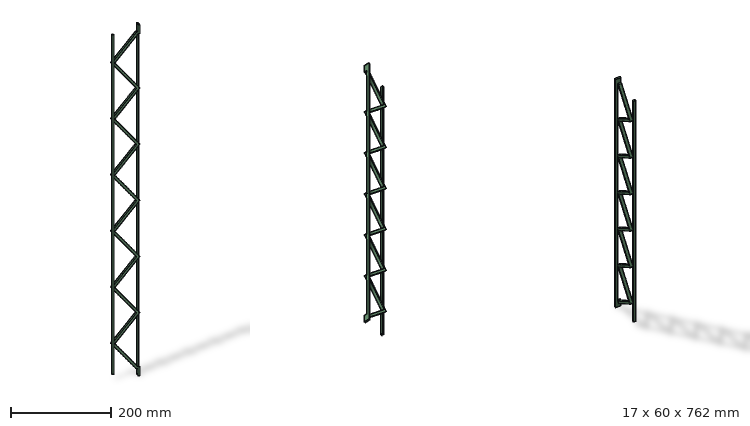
import cadquery as cq
import math

girder_length = 762.0
girder_depth = 60.0

chord_width = 5.0
chord_depth = 4.0
web_width = 7.0
web_thickness = 5.0
front_chord_length = 737.0

node_pitch = 122.0
bay_count = 6
half_pitch = node_pitch / 2
node_overlap = 4.0
web_length = bay_count * node_pitch

girder_width = 2 * chord_width + web_width
chord_y = (girder_depth - chord_depth) / 2
axis_depth = 52.5
chord_x = (girder_width - chord_width) / 2


def bar(width, depth, length, center):
    """Straight bar along Z."""
    return cq.Workplane("XY").box(width, depth, length).translate(center)


def zigzag_web():
    """Zigzag with mitred bends and a straight tail along the rear chord at each end."""
    slope_length = math.hypot(axis_depth, half_pitch)
    edge_reach = web_thickness / 2 * slope_length / half_pitch
    near_edge = []
    far_edge = []
    for node in range(2 * bay_count + 1):
        side = 1 if node % 2 == 0 else -1
        node_z = -web_length / 2 + node * half_pitch
        near_edge.append((side * axis_depth / 2 - edge_reach, node_z))
        far_edge.append((side * axis_depth / 2 + edge_reach, node_z))
    outline = near_edge + far_edge[::-1]
    web = cq.Workplane("YZ").polyline(outline).close().extrude(web_width / 2, both=True)
    tail_length = (girder_length - web_length) / 2 + node_overlap
    for side in (-1, 1):
        tail_z = side * (girder_length - tail_length) / 2
        web = web.union(bar(web_width, chord_depth, tail_length, (0, chord_y, tail_z)))
    return web


rear_chord = bar(chord_width, chord_depth, girder_length, (-chord_x, chord_y, 0))
front_chord = bar(chord_width, chord_depth, front_chord_length, (chord_x, -chord_y, 0))

result = zigzag_web().union(rear_chord).union(front_chord)